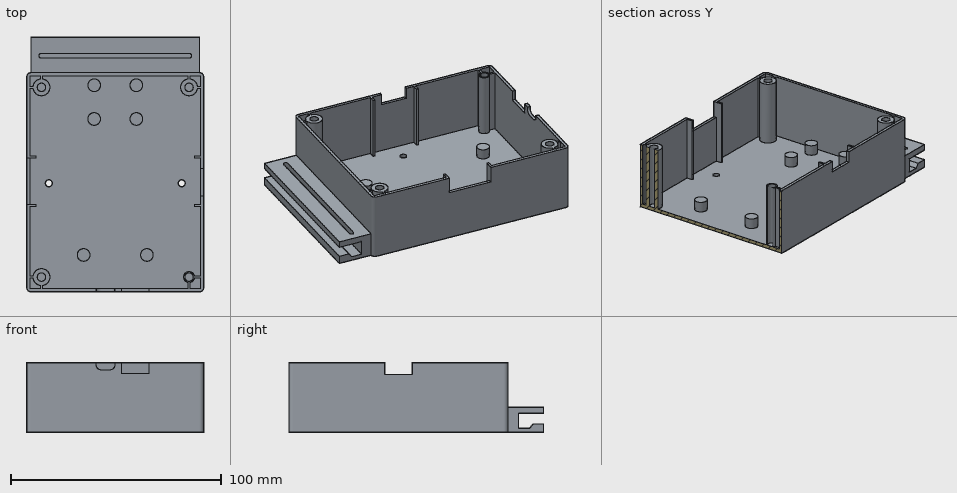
import cadquery as cq

BOX_X = 84.0
BOX_Y = 104.0
BOX_Z = 33.0
WALL = 1.5
FLOOR = 2.0
CORNER_RADIUS = 2.0
INNER_X = BOX_X / 2 - WALL
INNER_Y = BOX_Y / 2 - WALL

CLIP_WIDTH = 80.0
CLIP_REACH = 16.8
CLIP_HEIGHT = 12.0
CLIP_WEB = 5.0
CLIP_GAP_FLOOR = 2.0
CLIP_GAP_TOP = 9.0
CLIP_LIP_TOP = 4.0
CLIP_LIP_LENGTH = 5.0
CLIP_LIP_RAMP = 1.6
CLIP_SLOT_LENGTH = 72.4
CLIP_SLOT_WIDTH = 2.2
CLIP_SLOT_FROM_TIP = 8.8

POST_X = 35.0
POST_Y = 45.0
POST_DIAMETER = 8.0
POST_BORE = 4.0
POST_TOP = BOX_Z
SLIM_POST_DIAMETER = 5.2
POST_RIB = 1.0

PAD_DIAMETER = 6.0
PAD_HEIGHT = 5.0
REAR_PAD_X = 10.0
REAR_PAD_ROWS = (46.0, 30.0)
FRONT_PAD_X = 15.0
FRONT_PAD_Y = -34.5

MOUNT_HOLE_DIAMETER = 3.2
MOUNT_HOLE_X = 31.5
MOUNT_HOLE_Y = -0.5

LEFT_WINDOW_WIDTH = 22.0
LEFT_WINDOW_BOTTOM = 25.0
LEFT_WINDOW_Y = 0.5
SIDE_RIB_THICKNESS = 1.0
SIDE_RIB_REACH = 3.0
SIDE_RIB_TOP = BOX_Z

RIGHT_WINDOW_WIDTH = 13.0
RIGHT_WINDOW_BOTTOM = 27.5
RIGHT_WINDOW_Y = 0.0

PORT_WIDTH = 13.0
PORT_BOTTOM = 28.0
PORT_X = 9.4
ROUND_PORT_LENGTH = 9.0
ROUND_PORT_HEIGHT = 5.0
ROUND_PORT_BOTTOM = 29.6
ROUND_PORT_X = -4.6


def block(x_min, x_max, y_min, y_max, z_min, z_max):
    size = (x_max - x_min, y_max - y_min, z_max - z_min)
    return cq.Workplane("XY").box(*size, centered=False).translate((x_min, y_min, z_min))


def cylinder(x, y, diameter, z_min, z_max):
    return cq.Workplane("XY", origin=(x, y, z_min)).circle(diameter / 2).extrude(z_max - z_min)


def make_shell():
    outer = cq.Workplane("XY").box(BOX_X, BOX_Y, BOX_Z, centered=(True, True, False))
    outer = outer.edges("|Z").fillet(CORNER_RADIUS)
    return outer.cut(block(-INNER_X, INNER_X, -INNER_Y, INNER_Y, FLOOR, BOX_Z))


def make_clip():
    root = BOX_Y / 2 - WALL
    web = BOX_Y / 2 + CLIP_WEB
    tip = BOX_Y / 2 + CLIP_REACH
    lip = tip - CLIP_LIP_LENGTH
    profile = [
        (root, 0),
        (tip, 0),
        (tip, CLIP_LIP_TOP),
        (lip, CLIP_LIP_TOP),
        (lip - CLIP_LIP_RAMP, CLIP_GAP_FLOOR),
        (web, CLIP_GAP_FLOOR),
        (web, CLIP_GAP_TOP),
        (tip, CLIP_GAP_TOP),
        (tip, CLIP_HEIGHT),
        (root, CLIP_HEIGHT),
    ]
    clip = cq.Workplane("YZ").polyline(profile).close().extrude(CLIP_WIDTH / 2, both=True)
    slot = (
        cq.Workplane("XY", origin=(0, tip - CLIP_SLOT_FROM_TIP, CLIP_GAP_TOP))
        .slot2D(CLIP_SLOT_LENGTH, CLIP_SLOT_WIDTH)
        .extrude(CLIP_HEIGHT - CLIP_GAP_TOP)
    )
    return clip.cut(slot)


def make_post(side_x, side_y, diameter):
    x = side_x * POST_X
    y = side_y * POST_Y
    wall_x = side_x * (INNER_X + WALL / 2)
    wall_y = side_y * (INNER_Y + WALL / 2)
    half_rib = POST_RIB / 2
    post = cylinder(x, y, diameter, 0, POST_TOP)
    post = post.union(block(min(x, wall_x), max(x, wall_x), y - half_rib, y + half_rib, 0, POST_TOP))
    post = post.union(block(x - half_rib, x + half_rib, min(y, wall_y), max(y, wall_y), 0, POST_TOP))
    return post.cut(cylinder(x, y, POST_BORE, FLOOR, POST_TOP))


def add_posts(body):
    for side_x in (-1, 1):
        for side_y in (-1, 1):
            slim = side_x > 0 and side_y < 0
            body = body.union(make_post(side_x, side_y, SLIM_POST_DIAMETER if slim else POST_DIAMETER))
    return body


def add_pads(body):
    centres = [(REAR_PAD_X, y) for y in REAR_PAD_ROWS] + [(FRONT_PAD_X, FRONT_PAD_Y)]
    for x, y in centres:
        for side in (-1, 1):
            body = body.union(cylinder(side * x, y, PAD_DIAMETER, 0, FLOOR + PAD_HEIGHT))
    return body


def add_side_ribs(body):
    rear = LEFT_WINDOW_Y + LEFT_WINDOW_WIDTH / 2
    front = LEFT_WINDOW_Y - LEFT_WINDOW_WIDTH / 2
    tip = INNER_X - SIDE_RIB_REACH
    for y in (rear, front - SIDE_RIB_THICKNESS):
        for x_min, x_max in ((-INNER_X - WALL / 2, -tip), (tip, INNER_X + WALL / 2)):
            body = body.union(block(x_min, x_max, y, y + SIDE_RIB_THICKNESS, 0, SIDE_RIB_TOP))
    return body


def cut_mount_holes(body):
    for side in (-1, 1):
        body = body.cut(cylinder(side * MOUNT_HOLE_X, MOUNT_HOLE_Y, MOUNT_HOLE_DIAMETER, 0, FLOOR))
    return body


def cut_side_windows(body):
    half = LEFT_WINDOW_WIDTH / 2
    y = LEFT_WINDOW_Y
    body = body.cut(block(-BOX_X / 2, -INNER_X, y - half, y + half, LEFT_WINDOW_BOTTOM, BOX_Z))
    half = RIGHT_WINDOW_WIDTH / 2
    y = RIGHT_WINDOW_Y
    return body.cut(block(INNER_X, BOX_X / 2, y - half, y + half, RIGHT_WINDOW_BOTTOM, BOX_Z))


def cut_front_ports(body):
    half = PORT_WIDTH / 2
    body = body.cut(block(PORT_X - half, PORT_X + half, -BOX_Y / 2, -INNER_Y, PORT_BOTTOM, BOX_Z))
    round_port = (
        cq.Workplane("XZ", origin=(ROUND_PORT_X, -INNER_Y, ROUND_PORT_BOTTOM + ROUND_PORT_HEIGHT / 2))
        .slot2D(ROUND_PORT_LENGTH, ROUND_PORT_HEIGHT)
        .extrude(WALL)
    )
    return body.cut(round_port)


body = make_shell().union(make_clip())
body = add_posts(body)
body = add_pads(body)
body = add_side_ribs(body)
body = cut_mount_holes(body)
body = cut_side_windows(body)
result = cut_front_ports(body)